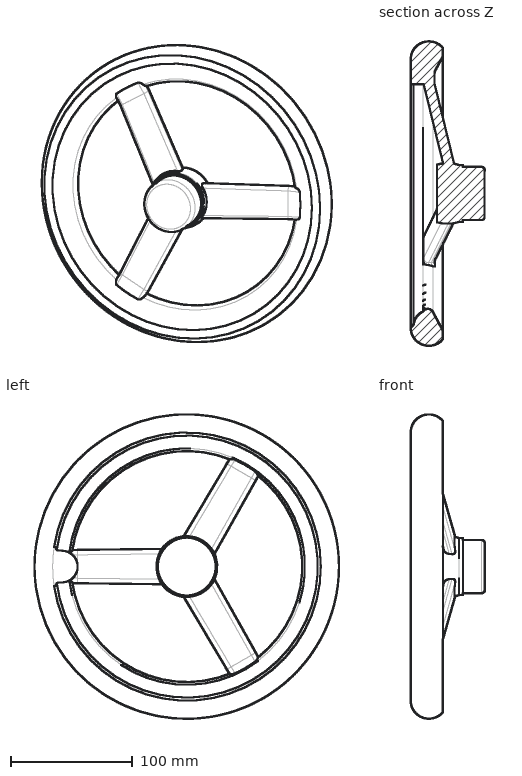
import cadquery as cq
import math


RIM_RADIUS = 125.0
TUBE_RADIUS = 15.0
TUBE_CENTER_RADIUS = RIM_RADIUS - TUBE_RADIUS
RIM_DEPTH = 26.5
STEP_RADIUS = 107.5
STEP_DEPTH = 2.5
LIP_RADIUS = 97.0
LIP_DEPTH = 10.0
LIP_BULGE = 1.7
RIM_INNER_RADIUS = 94.7
RIM_INNER_DEPTH = 13.5
NOSE_BACK_RADIUS = 97.5
NOSE_BACK_DEPTH = 18.5
RIM_BACK_INNER_RADIUS = 112.5

HUB_FRONT = 21.5
HUB_END = 61.0
HUB_FRONT_RADIUS = 23.7
HUB_WIDEST_RADIUS = 25.1
HUB_WIDEST_DEPTH = 31.0
COLLAR_RADIUS = 47.0 / 2
COLLAR_FRONT = 39.7
COLLAR_BACK = 43.0
SPIGOT_RADIUS = 44.0 / 2
SPIGOT_FILLET = 3.0

SPOKE_COUNT = 3
SPOKE_ROOT_RADIUS = 12.0
SPOKE_BEND_RADIUS = 89.5
SPOKE_TIP_RADIUS = 106.0
SPOKE_OUTER_FRONT = 10.6
SPOKE_THICKNESS = 9.4
SPOKE_SLOPE = 0.245
SPOKE_ROOT_WIDTH = 29.4
SPOKE_TIP_WIDTH = 27.2
SPOKE_FRONT_FILLET = 4.2
SPOKE_BACK_FILLET = 3.0

BOSS_RADIUS = 13.0
BOSS_CENTER_RADIUS = 102.5
BOSS_FLARE_RADIUS = 3.0
BOSS_DEPTH = 14.0


def revolve_about_x(profile):
    """Turn a closed profile, drawn in the XY plane, about the X axis."""
    return profile.revolve(360, (0, 0, 0), (1, 0, 0))


def rim():
    """Round outer half cut flat at the back, and an inner lip stepped down at the front."""
    flat_offset = RIM_DEPTH - TUBE_RADIUS
    flat_half_width = math.sqrt(TUBE_RADIUS**2 - flat_offset**2)
    flat_outer_radius = TUBE_CENTER_RADIUS + flat_half_width
    chord_axial = LIP_DEPTH - STEP_DEPTH
    chord_radial = STEP_RADIUS - LIP_RADIUS
    chord = math.hypot(chord_axial, chord_radial)
    lip_middle = (
        (STEP_DEPTH + LIP_DEPTH) / 2 - LIP_BULGE * chord_radial / chord,
        (STEP_RADIUS + LIP_RADIUS) / 2 - LIP_BULGE * chord_axial / chord,
    )
    profile = (
        cq.Workplane("XY")
        .moveTo(0, TUBE_CENTER_RADIUS)
        .threePointArc((TUBE_RADIUS, RIM_RADIUS), (RIM_DEPTH, flat_outer_radius))
        .lineTo(RIM_DEPTH, RIM_BACK_INNER_RADIUS)
        .lineTo(NOSE_BACK_DEPTH, NOSE_BACK_RADIUS)
        .threePointArc((RIM_INNER_DEPTH, RIM_INNER_RADIUS), (LIP_DEPTH, LIP_RADIUS))
        .threePointArc(lip_middle, (STEP_DEPTH, STEP_RADIUS))
        .close()
    )
    return revolve_about_x(profile)


def hub():
    """Hub body widest in its middle, then a collar and a spigot with a rounded end."""
    profile = (
        cq.Workplane("XY")
        .moveTo(HUB_FRONT, 0)
        .lineTo(HUB_FRONT, HUB_FRONT_RADIUS)
        .threePointArc((HUB_WIDEST_DEPTH, HUB_WIDEST_RADIUS), (COLLAR_FRONT, COLLAR_RADIUS))
        .lineTo(COLLAR_BACK, COLLAR_RADIUS)
        .lineTo(COLLAR_BACK, SPIGOT_RADIUS)
        .lineTo(HUB_END, SPIGOT_RADIUS)
        .lineTo(HUB_END, 0)
        .close()
    )
    return revolve_about_x(profile).faces(">X").edges().fillet(SPIGOT_FILLET)


def spoke_section(radius):
    """Rectangular spoke section at the given radius, rounded more at the front than at the back."""
    front = SPOKE_OUTER_FRONT + SPOKE_SLOPE * max(SPOKE_BEND_RADIUS - radius, 0)
    back = front + SPOKE_THICKNESS
    middle = (front + back) / 2
    along = (radius - SPOKE_ROOT_RADIUS) / (SPOKE_TIP_RADIUS - SPOKE_ROOT_RADIUS)
    half_width = (SPOKE_ROOT_WIDTH + along * (SPOKE_TIP_WIDTH - SPOKE_ROOT_WIDTH)) / 2
    corners = [
        (front, -half_width),
        (back, -half_width),
        (back, half_width),
        (front, half_width),
    ]
    outline = cq.Wire.makePolygon([cq.Vector(x, radius, z) for x, z in corners], close=True)
    front_corners = [vertex for vertex in outline.Vertices() if vertex.X < middle]
    outline = outline.fillet2D(SPOKE_FRONT_FILLET, front_corners)
    back_corners = [vertex for vertex in outline.Vertices() if vertex.X > middle]
    return outline.fillet2D(SPOKE_BACK_FILLET, back_corners)


def spoke():
    """Spoke along +Y: sloped from the hub, then level where it enters the rim."""
    stations = [SPOKE_ROOT_RADIUS, SPOKE_BEND_RADIUS, SPOKE_TIP_RADIUS]
    return cq.Workplane(cq.Solid.makeLoft([spoke_section(radius) for radius in stations], True))


def handle_boss():
    """Flat-faced boss with a round inner end, flaring into the rim and ending at the rim's crest."""
    flare_width = BOSS_RADIUS + BOSS_FLARE_RADIUS
    flare_start = STEP_RADIUS - BOSS_FLARE_RADIUS
    flare_middle = (
        flare_start + BOSS_FLARE_RADIUS * math.sin(math.pi / 4),
        flare_width - BOSS_FLARE_RADIUS * math.cos(math.pi / 4),
    )
    half_boss = (
        cq.Workplane("YZ")
        .moveTo(BOSS_CENTER_RADIUS - BOSS_RADIUS, 0)
        .radiusArc((BOSS_CENTER_RADIUS, BOSS_RADIUS), BOSS_RADIUS)
        .lineTo(flare_start, BOSS_RADIUS)
        .threePointArc(flare_middle, (STEP_RADIUS, flare_width))
        .lineTo(TUBE_CENTER_RADIUS, flare_width)
        .lineTo(TUBE_CENTER_RADIUS, 0)
        .close()
        .extrude(BOSS_DEPTH)
    )
    boss = half_boss.union(half_boss.mirror("XY"))
    crest_limit = cq.Workplane("YZ").circle(TUBE_CENTER_RADIUS).extrude(BOSS_DEPTH)
    return boss.intersect(crest_limit)


result = rim().union(hub())
for index in range(SPOKE_COUNT):
    result = result.union(spoke().rotate((0, 0, 0), (1, 0, 0), index * 360 / SPOKE_COUNT))
result = result.union(handle_boss())